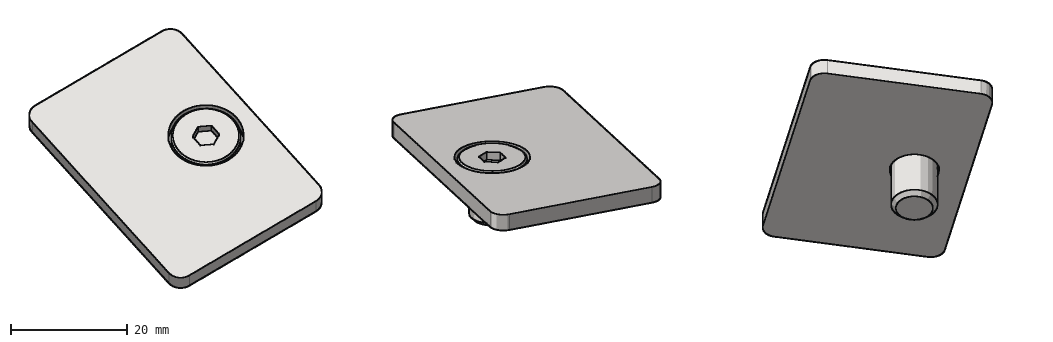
import cadquery as cq
import math

plate_length = 45.0
plate_width = 32.0
plate_thickness = 3.0
corner_radius = 2.5

overall_height = 11.5
screw_y = 6.5
shank_diameter = 8.0
shank_hole_diameter = 8.5
head_diameter = 12.0
counterbore_diameter = 13.0
head_height = 2.0
head_chamfer = 0.3
tip_chamfer = 0.8

socket_across_flats = 4.0
socket_depth = 1.5

head_seat_z = plate_thickness - head_height
tip_z = plate_thickness - overall_height
socket_across_corners = socket_across_flats / math.cos(math.pi / 6)


def at_screw(z):
    """Horizontal workplane at height z, centred on the screw axis."""
    return cq.Workplane("XY", origin=(0, screw_y, z))


def make_plate():
    """Rounded plate with a counterbored clearance hole."""
    plate = (
        cq.Workplane("XY")
        .box(plate_length, plate_width, plate_thickness, centered=(True, True, False))
        .edges("|Z")
        .fillet(corner_radius)
    )
    shank_hole = at_screw(0).circle(shank_hole_diameter / 2).extrude(plate_thickness)
    counterbore = at_screw(head_seat_z).circle(counterbore_diameter / 2).extrude(head_height)
    return plate.cut(shank_hole).cut(counterbore)


def make_screw():
    """Low-head socket screw seated flush with the top of the plate."""
    head = (
        at_screw(head_seat_z)
        .circle(head_diameter / 2)
        .extrude(head_height)
        .faces(">Z")
        .edges()
        .chamfer(head_chamfer)
    )
    shank = (
        at_screw(tip_z)
        .circle(shank_diameter / 2)
        .extrude(head_seat_z - tip_z)
        .faces("<Z")
        .edges()
        .chamfer(tip_chamfer)
    )
    socket = at_screw(plate_thickness).polygon(6, socket_across_corners).extrude(-socket_depth)
    return head.union(shank).cut(socket)


plate = make_plate()
screw = make_screw()

result = cq.Compound.makeCompound([plate.solids().val(), screw.solids().val()])